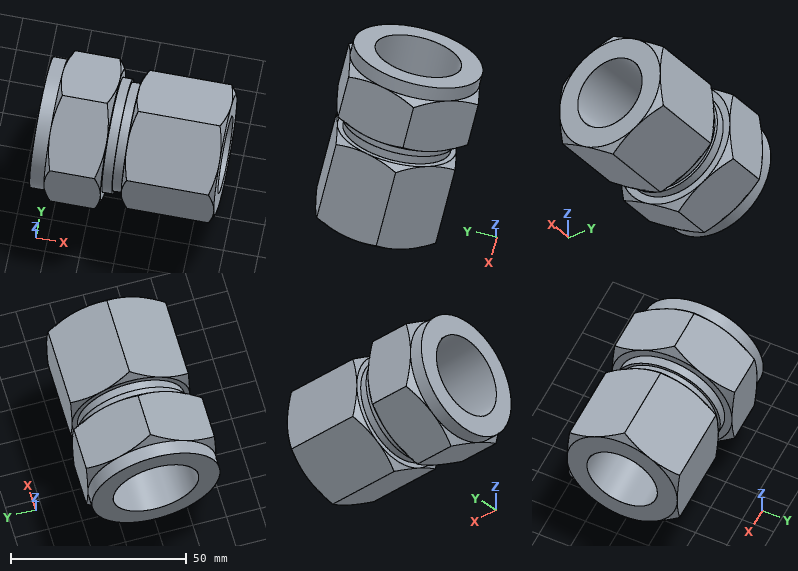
import cadquery as cq
import math

length = 53.35
collar_end = 4.2
nut_end = 20.65
shoulder_end = 23.5
body_start = 26.4

nut_flats = 38.1
body_flats = 35.0
shoulder_diameter = 33.45
neck_diameter = 31.75
through_diameter = 22.35
tube_diameter = 25.4
tube_depth = shoulder_end
chamfer_angle = 30.0


def cylinder(start, end, diameter):
    """Round bar along X between two stations."""
    return cq.Workplane("YZ", origin=(start, 0, 0)).circle(diameter / 2).extrude(end - start)


def chamfered_hex(start, end, flats):
    """Hexagonal bar along X, corners up and down, both ends coned down to the flats."""
    corner_radius = flats / math.sqrt(3)
    flat_radius = flats / 2
    cone_length = (corner_radius - flat_radius) * math.tan(math.radians(chamfer_angle))
    bar = (
        cq.Workplane("YZ", origin=(start, 0, 0))
        .polygon(6, 2 * corner_radius)
        .extrude(end - start)
        .rotate((0, 0, 0), (1, 0, 0), 90)
    )
    envelope = (
        cq.Workplane("XY")
        .moveTo(start, 0)
        .lineTo(start, flat_radius)
        .lineTo(start + cone_length, corner_radius)
        .lineTo(end - cone_length, corner_radius)
        .lineTo(end, flat_radius)
        .lineTo(end, 0)
        .close()
        .revolve(360, (0, 0, 0), (1, 0, 0))
    )
    return bar.intersect(envelope)


collar = cylinder(0, collar_end, nut_flats)
nut_hex = chamfered_hex(collar_end, nut_end, nut_flats)

shoulder = cylinder(nut_end, shoulder_end, shoulder_diameter)
neck = cylinder(shoulder_end, body_start, neck_diameter)
body_hex = chamfered_hex(body_start, length, body_flats)

tube_socket = cylinder(0, tube_depth, tube_diameter)
passage = cylinder(0, length, through_diameter)

solid_fitting = collar.union(nut_hex).union(shoulder).union(neck).union(body_hex)
result = solid_fitting.cut(tube_socket).cut(passage)